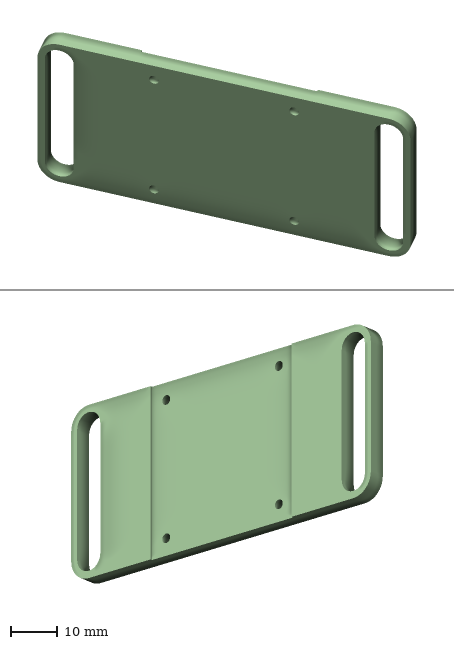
import cadquery as cq

length = 85.0
thickness = 4.0
height = 40.0
corner_radius = 5.0

slot_width = 6.55
slot_margin = 1.7
slot_height = height - 2 * slot_margin
slot_offset = length / 2 - slot_margin - slot_width / 2

hole_diameter = 2.2
hole_spacing = 32.0

channel_width = height
channel_depth = 0.5


def make_plate():
    """Rounded plate standing in the XZ plane, centred on the origin."""
    plate = cq.Workplane("XY").box(length, thickness, height)
    return plate.edges("|Y").fillet(corner_radius)


def cut_slots(body):
    slots = (
        cq.Workplane("XZ")
        .pushPoints([(-slot_offset, 0), (slot_offset, 0)])
        .slot2D(slot_height, slot_width, 90)
        .extrude(thickness, both=True)
    )
    return body.cut(slots)


def cut_holes(body):
    holes = (
        cq.Workplane("XZ")
        .rect(hole_spacing, hole_spacing, forConstruction=True)
        .vertices()
        .circle(hole_diameter / 2)
        .extrude(thickness, both=True)
    )
    return body.cut(holes)


def cut_back_channel(body):
    channel = cq.Workplane("XY").box(channel_width, channel_depth, height)
    channel_centre = (thickness - channel_depth) / 2
    return body.cut(channel.translate((0, channel_centre, 0)))


result = cut_back_channel(cut_holes(cut_slots(make_plate())))